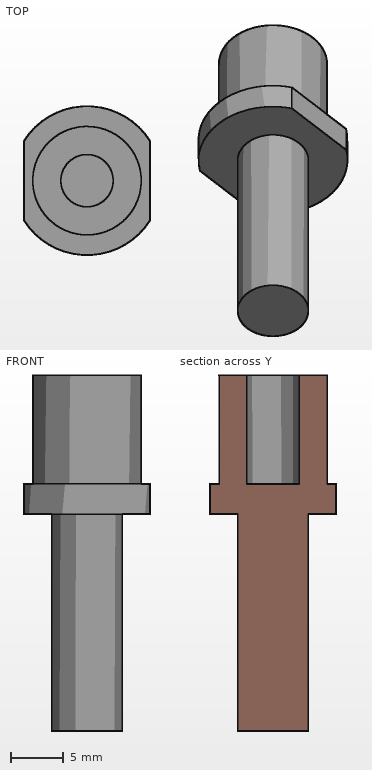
import cadquery as cq

total_length = 34.1
head_height = 10.4
flange_height = 2.9
shank_length = total_length - head_height - flange_height

shank_diameter = 6.8
head_diameter = 10.4
flange_diameter = 14.3
flange_width_across_flats = 12.1
bore_diameter = 5.0

bore_depth = head_height


def cylinder(diameter, height, base_z):
    """Upright cylinder centred on the Z axis."""
    return cq.Workplane("XY").workplane(offset=base_z).circle(diameter / 2).extrude(height)


def flatted_flange(base_z):
    """Round flange trimmed by two parallel flats facing -X and +X."""
    trim = (
        cq.Workplane("XY")
        .workplane(offset=base_z)
        .rect(flange_width_across_flats, flange_diameter)
        .extrude(flange_height)
    )
    return cylinder(flange_diameter, flange_height, base_z).intersect(trim)


shank = cylinder(shank_diameter, shank_length, 0)
flange = flatted_flange(shank_length)
head = cylinder(head_diameter, head_height, shank_length + flange_height)
bore = cylinder(bore_diameter, bore_depth, total_length - bore_depth)

result = shank.union(flange).union(head).cut(bore)